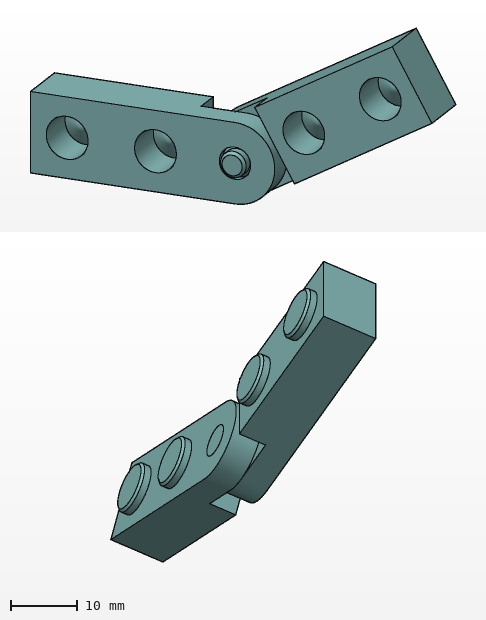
import cadquery as cq
import math


total_span = 65.75
open_angle = 30.0
leaf_angles = (180.0, open_angle)

half_width = 6.5
thickness = 8.95
lap_thickness = thickness / 2
swing_clearance = 7.5
rise = math.radians(open_angle)
hinge_to_end = (total_span - half_width * math.sin(rise)) / (1 + math.cos(rise))

plug_distances = (13.0, 27.5)
hole_radius = 3.4
head_radius = 4.0
head_height = 1.5
head_chamfer = 0.4
shank_length = 2.0
point_slope = 30.0
point_height = hole_radius * math.tan(math.radians(point_slope))

pin_radius = 2.55
pin_projection = 1.05
pin_chamfer = 0.45
shoulder_depth = 0.8
pin_neck_radius = pin_radius - pin_chamfer
pin_tip_radius = pin_neck_radius - pin_chamfer


def disc(x, radius, y_start, y_end):
    """Cylinder along Y, centred at the given x on the arm's centre line."""
    return (
        cq.Workplane("XZ", origin=(x, y_start, 0))
        .circle(radius)
        .extrude(y_start - y_end)
    )


def swing(body, angle):
    """Turn a body about the hinge axis, from +X towards +Z."""
    return body.rotate((0, 0, 0), (0, 1, 0), -angle)


def make_leaf(lap_start):
    """Leaf along +X whose half-lap occupies lap_start to lap_start + lap_thickness in Y."""
    arm = (
        cq.Workplane("XZ")
        .moveTo(swing_clearance, -half_width)
        .lineTo(hinge_to_end, -half_width)
        .lineTo(hinge_to_end, half_width)
        .lineTo(swing_clearance, half_width)
        .close()
        .extrude(-thickness)
    )
    lap = (
        cq.Workplane("XZ", origin=(0, lap_start, 0))
        .moveTo(swing_clearance, -half_width)
        .lineTo(0, -half_width)
        .threePointArc((-half_width, 0), (0, half_width))
        .lineTo(swing_clearance, half_width)
        .close()
        .extrude(-lap_thickness)
    )
    leaf = arm.union(lap).cut(disc(0, pin_radius, 0, thickness))
    for distance in plug_distances:
        leaf = leaf.cut(disc(distance, hole_radius, 0, thickness))
    return leaf


def make_plug(distance):
    """Plug with a chamfered head on the back face and a conical point facing the front."""
    shank_end = thickness - shank_length
    head_top = thickness + head_height
    profile = (
        cq.Workplane("XY")
        .moveTo(0, shank_end - point_height)
        .lineTo(hole_radius, shank_end)
        .lineTo(hole_radius, thickness)
        .lineTo(head_radius, thickness)
        .lineTo(head_radius, head_top - head_chamfer)
        .lineTo(head_radius - head_chamfer, head_top)
        .lineTo(0, head_top)
        .close()
    )
    plug = profile.revolve(360, (0, 0, 0), (0, 1, 0))
    return plug.translate((distance, 0, 0))


def make_pin():
    """Pin flush with the back face, with a sunken chamfered shoulder and a chamfered neck in front."""
    profile = (
        cq.Workplane("XY")
        .moveTo(0, -pin_projection)
        .lineTo(pin_tip_radius, -pin_projection)
        .lineTo(pin_neck_radius, pin_chamfer - pin_projection)
        .lineTo(pin_neck_radius, shoulder_depth)
        .lineTo(pin_radius, shoulder_depth + pin_chamfer)
        .lineTo(pin_radius, thickness)
        .lineTo(0, thickness)
        .close()
    )
    return profile.revolve(360, (0, 0, 0), (0, 1, 0))


left_leaf = swing(make_leaf(0), leaf_angles[0])
right_leaf = swing(make_leaf(lap_thickness), leaf_angles[1])

plugs = []
for angle in leaf_angles:
    for distance in plug_distances:
        plugs.append(swing(make_plug(distance), angle).val())

hinge_pin = make_pin()

result = cq.Compound.makeCompound([left_leaf.val(), right_leaf.val(), hinge_pin.val(), *plugs])